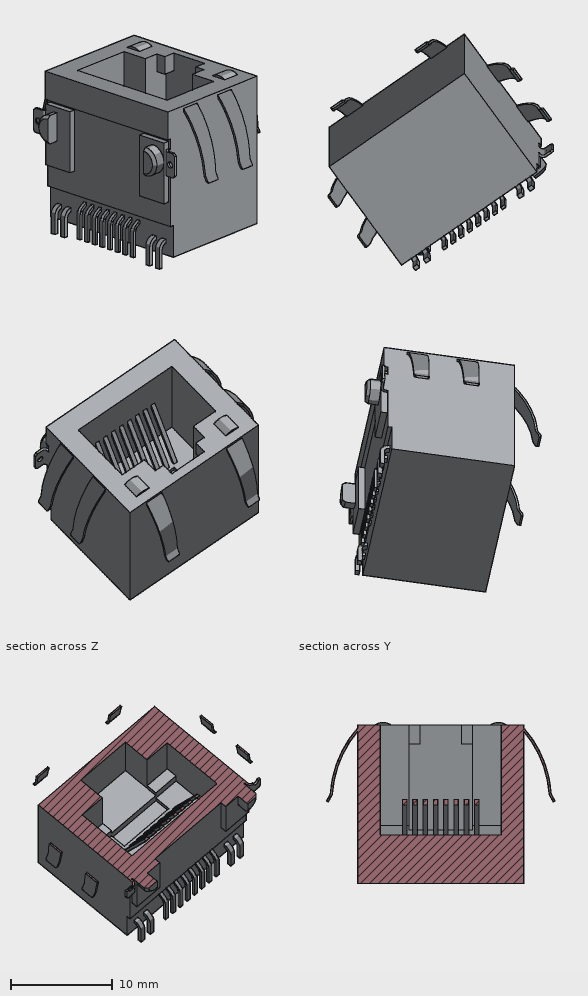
import cadquery as cq
import math


WIDTH = 16.4
DEPTH = 13.1
HEIGHT = 15.66
STEP = 0.38
MIDDLE_STEP_Z = 12.68
LOWER_STEP_Z = 3.37

PLUG_WIDTH = 11.93
PLUG_FRONT = 2.3
PLUG_BACK = 9.15
PLUG_DEPTH = 10.85
LEDGE_FRONT = 7.93
LEDGE_DEPTH = 9.95
LATCH_WIDTH = 6.25
LATCH_BACK = 12.15
LATCH_DEPTH = 10.4
RELIEF_FRONT = 6.15
RELIEF_DEPTH = 11.3
LIP_FRONT = 10.85
LIP_HEIGHT = 1.88
NOTCH_WIDTH = 4.11

PIN_COUNT = 8
PIN_PITCH = 1.02
PIN_WIDTH = 0.45
PIN_NECK_WIDTH = 0.36
PIN_THICKNESS = 0.3
PIN_FRONT = -0.2
PIN_BOTTOM = -0.93
PIN_ROOT_Z = 2.75
PIN_CORNER_Z = 2.12
PIN_BEND_RADIUS = 0.9
PIN_NECK_Z = 2.01
CONTACT_THICKNESS = 0.3
CONTACT_SLOPE = 61
CONTACT_BACK = 5.85

LAMP_PIN_OFFSETS = (5.67, 6.95)
LAMP_PIN_WIDTH = 0.52
LAMP_PIN_THICKNESS = 0.43
LAMP_PIN_BOTTOM = -1.25
LAMP_PIN_BEND_RADIUS = 0.97
LAMP_PIN_BEND_Z = 0.7

LENS_OFFSET = 5.7
LENS_WIDTH = 1.65
LENS_HEIGHT = 0.25
LENS_FRONT = 10.2
LENS_LENGTH = 1.88

PAD_OUTER_X = 7.89
PAD_WIDTH = 3.25
PAD_TOP = 12.36
PAD_BOTTOM = 5.9
PAD_FRONT = -0.27
PEG_RADIUS = 1.51
PEG_Z = 10.3
PEG_FRONT = -1.6
PEG_CHAMFER = 0.32

TAB_OUTER_X = 9.42
TAB_HEIGHT = 2.58
TAB_FRONT = -0.38
TAB_THICKNESS = 0.25
TAB_BEND_RADIUS = 0.32
TAB_CHAMFER = 0.25
TAB_HOLE_X = 8.81
TAB_HOLE_RADIUS = 0.32
TAB_BLIND_DEPTH = 0.14

SPRING_REACH = 3.1
SPRING_TOP = 15.37
SPRING_BEND_Z = 8.84
SPRING_BEND_REACH = 2.71
SPRING_RADIUS = 10.85
SPRING_FOOT_TILT = 30
SPRING_FOOT_RADIUS = 0.68
SPRING_THICKNESS = 0.23
SPRING_ROOT_WIDTH = 2.0
SPRING_TIP_WIDTH = 1.5
SPRING_CORNER = 0.3
SIDE_SPRING_Y = (3.28, 8.3)
BACK_SPRING_X = 5.1

EMBED = 0.23
LOWER_FACE = 2 * STEP


def box(x_min, x_max, y_min, y_max, z_min, z_max):
    size = (x_max - x_min, y_max - y_min, z_max - z_min)
    return cq.Workplane("XY").box(*size, centered=False).translate((x_min, y_min, z_min))


def centred_box(width, y_min, y_max, z_min, z_max):
    return box(-width / 2, width / 2, y_min, y_max, z_min, z_max)


def extrude_along_x(profile, x_centre, width):
    """Extrude a closed YZ profile symmetrically about x_centre."""
    return profile.extrude(width / 2, both=True).translate((x_centre, 0, 0))


def mirrored(shape):
    return shape.mirror("YZ")


def make_housing():
    profile = cq.Workplane("YZ").polyline([
        (0, HEIGHT),
        (DEPTH, HEIGHT),
        (DEPTH, 0),
        (LOWER_FACE, 0),
        (LOWER_FACE, LOWER_STEP_Z),
        (STEP, LOWER_STEP_Z),
        (STEP, MIDDLE_STEP_Z),
        (0, MIDDLE_STEP_Z),
    ]).close()
    return extrude_along_x(profile, 0, WIDTH)


def make_opening():
    def pocket(width, front, back, depth):
        return centred_box(width, front, back, HEIGHT - depth, HEIGHT)

    lip_z = HEIGHT - LIP_HEIGHT
    below_lips = centred_box(LATCH_WIDTH, LIP_FRONT, LATCH_BACK, HEIGHT - LATCH_DEPTH, lip_z)
    return (
        pocket(PLUG_WIDTH, PLUG_FRONT, LEDGE_FRONT, PLUG_DEPTH)
        .union(pocket(PLUG_WIDTH, LEDGE_FRONT, PLUG_BACK, LEDGE_DEPTH))
        .union(pocket(LATCH_WIDTH, RELIEF_FRONT, LEDGE_FRONT, RELIEF_DEPTH))
        .union(pocket(LATCH_WIDTH, LEDGE_FRONT, LIP_FRONT, LATCH_DEPTH))
        .union(below_lips)
        .union(pocket(NOTCH_WIDTH, LIP_FRONT, LATCH_BACK, LIP_HEIGHT))
    )


def make_contact(x):
    """Wire sloping down from the front wall of the opening to its floor."""
    floor_z = HEIGHT - PLUG_DEPTH
    slope = math.radians(CONTACT_SLOPE)
    root_y = PLUG_FRONT - EMBED
    root_z = floor_z + (CONTACT_BACK - root_y) * math.tan(slope)
    drop = CONTACT_THICKNESS / math.cos(slope)
    profile = cq.Workplane("YZ").polyline([
        (root_y, root_z),
        (CONTACT_BACK, floor_z),
        (CONTACT_BACK, floor_z - drop),
        (root_y, root_z - drop),
    ]).close()
    return extrude_along_x(profile, x, PIN_WIDTH)


def make_signal_pin(x):
    """Pin that slopes out of the housing, then turns straight down."""
    leg_back = PIN_FRONT + PIN_THICKNESS
    slope = (PIN_ROOT_Z - PIN_CORNER_Z) / (LOWER_FACE - PIN_FRONT)
    root_top = PIN_ROOT_Z + slope * EMBED
    root_y = LOWER_FACE + EMBED
    drop = PIN_THICKNESS * math.hypot(1, slope)
    inner_corner_z = PIN_CORNER_Z + slope * PIN_THICKNESS - drop
    profile = cq.Workplane("YZ").polyline([
        (PIN_FRONT, PIN_BOTTOM),
        (PIN_FRONT, PIN_CORNER_Z),
        (root_y, root_top),
        (root_y, root_top - drop),
        (leg_back, inner_corner_z),
        (leg_back, PIN_BOTTOM),
    ]).close()
    pin = (
        extrude_along_x(profile, x, PIN_WIDTH)
        .edges(cq.NearestToPointSelector((x, PIN_FRONT, PIN_CORNER_Z)))
        .fillet(PIN_BEND_RADIUS)
        .edges(cq.NearestToPointSelector((x, leg_back, inner_corner_z)))
        .fillet(PIN_BEND_RADIUS - PIN_THICKNESS)
    )
    neck = box(x - PIN_NECK_WIDTH / 2, x + PIN_NECK_WIDTH / 2, PIN_FRONT, root_y, PIN_NECK_Z, root_top)
    leg = box(x - PIN_WIDTH / 2, x + PIN_WIDTH / 2, PIN_FRONT, root_y, PIN_BOTTOM, PIN_NECK_Z)
    return pin.intersect(neck.union(leg))


def make_lamp_pin(x):
    """Pin that leaves the housing level and bends straight down."""
    outer = LAMP_PIN_BEND_RADIUS
    inner = outer - LAMP_PIN_THICKNESS
    bend_y = PIN_FRONT + outer
    root_y = bend_y + EMBED
    bend_z = LAMP_PIN_BEND_Z
    leg_back = PIN_FRONT + LAMP_PIN_THICKNESS
    profile = (
        cq.Workplane("YZ")
        .moveTo(PIN_FRONT, LAMP_PIN_BOTTOM)
        .lineTo(PIN_FRONT, bend_z)
        .radiusArc((bend_y, bend_z + outer), outer)
        .lineTo(root_y, bend_z + outer)
        .lineTo(root_y, bend_z + inner)
        .lineTo(bend_y, bend_z + inner)
        .radiusArc((leg_back, bend_z), -inner)
        .lineTo(leg_back, LAMP_PIN_BOTTOM)
        .close()
    )
    return extrude_along_x(profile, x, LAMP_PIN_WIDTH)


def make_lens(x):
    """Shallow dome standing on the top face."""
    half = LENS_WIDTH / 2
    profile = (
        cq.Workplane("XZ")
        .moveTo(-half, HEIGHT - EMBED)
        .lineTo(-half, HEIGHT)
        .threePointArc((0, HEIGHT + LENS_HEIGHT), (half, HEIGHT))
        .lineTo(half, HEIGHT - EMBED)
        .close()
    )
    return profile.extrude(-LENS_LENGTH).translate((x, LENS_FRONT, 0))


def make_left_pad():
    """Raised pad with a half-round locating peg."""
    pad = box(-PAD_OUTER_X, PAD_WIDTH - PAD_OUTER_X, PAD_FRONT, STEP + EMBED, PAD_BOTTOM, PAD_TOP)
    flat_x = PEG_RADIUS - PAD_OUTER_X
    peg = (
        cq.Workplane("XZ", origin=(flat_x, PAD_FRONT + EMBED, PEG_Z))
        .circle(PEG_RADIUS)
        .extrude(PAD_FRONT + EMBED - PEG_FRONT)
        .faces("<Y").edges().chamfer(PEG_CHAMFER)
    )
    outer_half = box(-PAD_OUTER_X, flat_x, PEG_FRONT, 0, PEG_Z - PEG_RADIUS, PEG_Z + PEG_RADIUS)
    return pad.union(peg.intersect(outer_half))


def make_left_tab(hole_depth):
    """Flat solder tab that bends back into the housing; the hole starts at its front face."""
    inner = TAB_BEND_RADIUS
    outer = inner + TAB_THICKNESS
    back_y = TAB_FRONT + TAB_THICKNESS
    bend_x = -WIDTH / 2 - inner
    bend_y = TAB_FRONT + outer
    root_y = STEP + EMBED
    tab = (
        cq.Workplane("XY", origin=(0, 0, PEG_Z))
        .moveTo(-TAB_OUTER_X, TAB_FRONT)
        .lineTo(bend_x, TAB_FRONT)
        .radiusArc((bend_x + outer, bend_y), -outer)
        .lineTo(bend_x + outer, root_y)
        .lineTo(bend_x + inner, root_y)
        .lineTo(bend_x + inner, bend_y)
        .radiusArc((bend_x, back_y), inner)
        .lineTo(-TAB_OUTER_X, back_y)
        .close()
        .extrude(TAB_HEIGHT / 2, both=True)
        .faces("<X").edges("|Y").chamfer(TAB_CHAMFER)
    )
    hole = (
        cq.Workplane("XZ", origin=(-TAB_HOLE_X, TAB_FRONT, PEG_Z))
        .circle(TAB_HOLE_RADIUS)
        .extrude(-hole_depth)
    )
    return tab.cut(hole)


def make_spring():
    """Curved spring reaching toward -X from a wall at X = 0, centred on Y = 0."""
    foot_run = SPRING_REACH - SPRING_BEND_REACH
    foot_tilt = math.radians(SPRING_FOOT_TILT)
    root = (0, SPRING_TOP)
    bend = (-SPRING_BEND_REACH, SPRING_BEND_Z)
    chord_x = bend[0] - root[0]
    chord_z = bend[1] - root[1]
    chord = math.hypot(chord_x, chord_z)
    rise = math.sqrt(SPRING_RADIUS ** 2 - (chord / 2) ** 2)
    centre_x = (root[0] + bend[0]) / 2 - rise * chord_z / chord
    centre_z = (root[1] + bend[1]) / 2 + rise * chord_x / chord

    def on_bow(radius, angle):
        return (centre_x + radius * math.cos(angle), centre_z + radius * math.sin(angle))

    inner_radius = SPRING_RADIUS - SPRING_THICKNESS
    root_angle = math.atan2(root[1] - centre_z, root[0] - centre_x)
    root_angle -= 2 * EMBED / SPRING_RADIUS
    bend_angle = math.atan2(bend[1] - centre_z, bend[0] - centre_x) % (2 * math.pi)
    middle_angle = (root_angle + bend_angle) / 2
    tip_outer = (-SPRING_REACH, bend[1] - foot_run / math.tan(foot_tilt))
    tip_inner = (
        tip_outer[0] + SPRING_THICKNESS * math.cos(foot_tilt),
        tip_outer[1] - SPRING_THICKNESS * math.sin(foot_tilt),
    )
    inner_bend = on_bow(inner_radius, bend_angle)
    strip = (
        cq.Workplane("XZ")
        .moveTo(*on_bow(SPRING_RADIUS, root_angle))
        .threePointArc(on_bow(SPRING_RADIUS, middle_angle), bend)
        .lineTo(*tip_outer)
        .lineTo(*tip_inner)
        .lineTo(*inner_bend)
        .threePointArc(on_bow(inner_radius, middle_angle), on_bow(inner_radius, root_angle))
        .close()
        .extrude(SPRING_ROOT_WIDTH, both=True)
        .edges(cq.NearestToPointSelector((bend[0], 0, bend[1])))
        .fillet(SPRING_FOOT_RADIUS)
        .edges(cq.NearestToPointSelector((inner_bend[0], 0, inner_bend[1])))
        .fillet(SPRING_FOOT_RADIUS + SPRING_THICKNESS)
    )
    root_half = SPRING_ROOT_WIDTH / 2
    tip_half = SPRING_TIP_WIDTH / 2
    outline = (
        cq.Workplane("YZ", origin=(-SPRING_REACH - EMBED, 0, 0))
        .polyline([
            (-root_half, HEIGHT),
            (-root_half, SPRING_TOP),
            (-tip_half, SPRING_BEND_Z),
            (-tip_half, tip_inner[1]),
            (tip_half, tip_inner[1]),
            (tip_half, SPRING_BEND_Z),
            (root_half, SPRING_TOP),
            (root_half, HEIGHT),
        ])
        .close()
        .extrude(SPRING_REACH + 3 * EMBED)
        .faces("<Z").edges("|X").fillet(SPRING_CORNER)
    )
    return strip.intersect(outline)


result = make_housing().cut(make_opening())

for index in range(PIN_COUNT):
    pin_x = (index - (PIN_COUNT - 1) / 2) * PIN_PITCH
    result = result.union(make_contact(pin_x)).union(make_signal_pin(pin_x))

left_pad = make_left_pad()
result = result.union(left_pad).union(mirrored(left_pad))
result = result.union(make_left_tab(TAB_BLIND_DEPTH))
result = result.union(mirrored(make_left_tab(TAB_THICKNESS)))

spring = make_spring()
back_spring = spring.rotate((0, 0, 0), (0, 0, 1), -90).translate((0, DEPTH, 0))
for spring_y in SIDE_SPRING_Y:
    left_spring = spring.translate((-WIDTH / 2, spring_y, 0))
    result = result.union(left_spring).union(mirrored(left_spring))

for side in (-1, 1):
    result = result.union(make_lens(side * LENS_OFFSET))
    result = result.union(back_spring.translate((side * BACK_SPRING_X, 0, 0)))
    for offset in LAMP_PIN_OFFSETS:
        result = result.union(make_lamp_pin(side * offset))